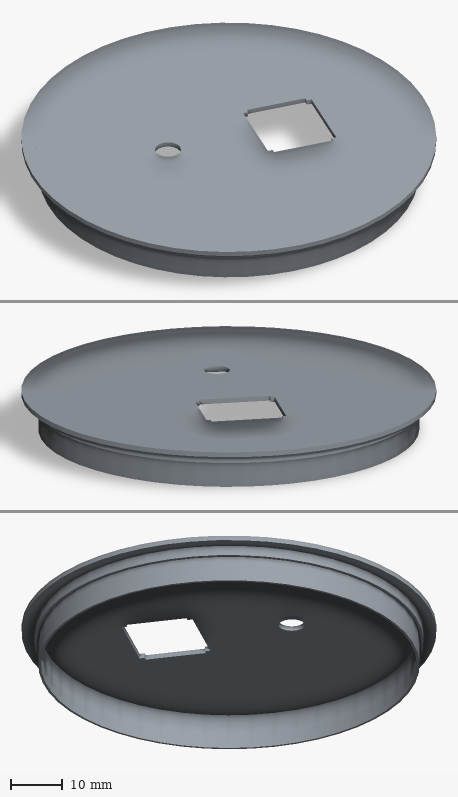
import cadquery as cq

flange_diameter = 80.0
collar_diameter = 75.0
skirt_diameter = 73.5
plate_diameter = 72.5

total_height = 8.0
collar_height = 3.0
plate_thickness = 1.0
flange_thickness = plate_thickness

opening_offset = 12.5
window_side = 14.0
window_notched_width = 15.6
window_notch_length = 12.0
round_hole_diameter = 5.0


def top_flush_disc(diameter, height):
    """Solid disc whose upper face lies at the top of the assembly."""
    return (
        cq.Workplane("XY")
        .workplane(offset=total_height - height)
        .circle(diameter / 2)
        .extrude(height)
    )


def top_flush_ring(outer_diameter, inner_diameter, height):
    """Open ring whose upper face lies at the top of the assembly."""
    bore = top_flush_disc(inner_diameter, height)
    return top_flush_disc(outer_diameter, height).cut(bore)


def make_window_cutter():
    """Square window widened along X between its four corners."""
    square = (
        cq.Workplane("XY")
        .center(0, opening_offset)
        .rect(window_side, window_side)
        .extrude(total_height)
    )
    side_notches = (
        cq.Workplane("XY")
        .center(0, opening_offset)
        .rect(window_notched_width, window_notch_length)
        .extrude(total_height)
    )
    return square.union(side_notches)


def make_round_hole_cutter():
    return (
        cq.Workplane("XY")
        .center(0, -opening_offset)
        .circle(round_hole_diameter / 2)
        .extrude(total_height)
    )


def make_plate():
    """Thin round plate with the window and the round hole through it."""
    disc = top_flush_disc(plate_diameter, plate_thickness)
    return disc.cut(make_window_cutter()).cut(make_round_hole_cutter())


flange = top_flush_ring(flange_diameter, collar_diameter, flange_thickness)
collar = top_flush_ring(collar_diameter, skirt_diameter, collar_height)
skirt = top_flush_ring(skirt_diameter, plate_diameter, total_height)
plate = make_plate()

result = cq.Compound.makeCompound([flange.val(), collar.val(), skirt.val(), plate.val()])